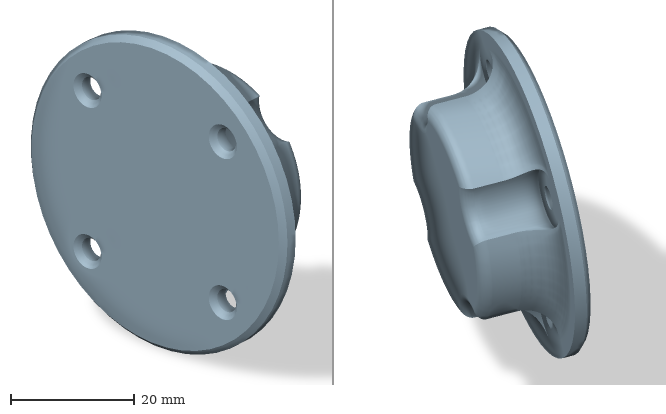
import cadquery as cq
import math

flange_diameter = 55.0
flange_thickness = 3.0
flange_chamfer = 1.0

hub_radius = 18.5
total_depth = 16.0
foot_radius = 6.0
rim_radius = 2.0

hole_spacing = 29.0
hole_diameter = 4.0
countersink_diameter = 6.0
countersink_angle = 90.0
scallop_radius = 5.0

hole_offset = hole_spacing / 2
hole_centers = [(x, z) for x in (-hole_offset, hole_offset) for z in (-hole_offset, hole_offset)]


def plane_at(y):
    """Workplane parallel to XZ at depth y, with its normal along +Y."""
    return cq.Workplane(cq.Plane(origin=(0, y, 0), xDir=(1, 0, 0), normal=(0, 1, 0)))


def make_flange():
    flange = plane_at(0).circle(flange_diameter / 2).extrude(flange_thickness)
    return flange.faces("<Y").chamfer(flange_chamfer)


def make_hub():
    """Turned hub with a concave foot, scalloped at the holes, then rounded at the rim."""
    foot_top = flange_thickness + foot_radius
    arc_reach = foot_radius * (1 - math.sqrt(0.5))
    hub = (
        cq.Workplane("XY")
        .moveTo(0, flange_thickness)
        .lineTo(hub_radius + foot_radius, flange_thickness)
        .threePointArc((hub_radius + arc_reach, flange_thickness + arc_reach), (hub_radius, foot_top))
        .lineTo(hub_radius, total_depth)
        .lineTo(0, total_depth)
        .close()
        .revolve(axisStart=(0, 0, 0), axisEnd=(0, 1, 0))
    )
    scallops = plane_at(flange_thickness).pushPoints(hole_centers).circle(scallop_radius).extrude(total_depth)
    return hub.cut(scallops).faces(">Y").edges().fillet(rim_radius)


def drill_holes(body):
    return (
        body.faces("<Y")
        .workplane(origin=(0, 0, 0))
        .pushPoints(hole_centers)
        .cskHole(hole_diameter, countersink_diameter, countersink_angle)
    )


result = drill_holes(make_flange().union(make_hub()))